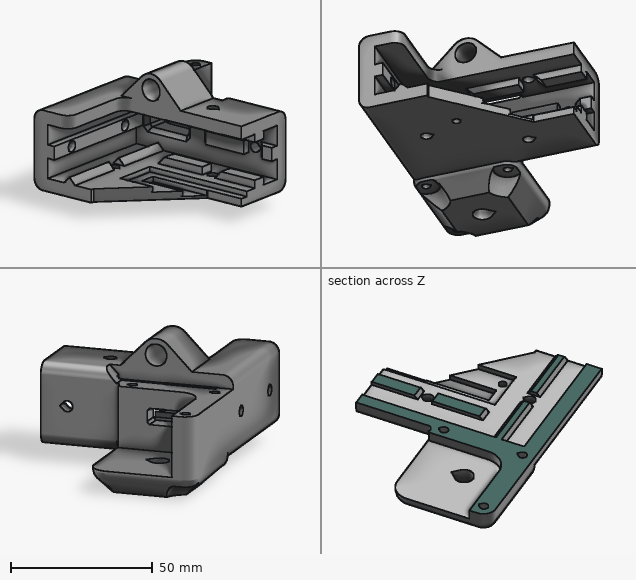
import cadquery as cq
import math

DIAGONAL = math.sqrt(0.5)
EPS = 0.1

length = 70.0
core_depth = 55.0
core_height = 30.0
wall = 4.95
side_wall = 6.1
edge_radius = 4.0
bay_front = 30.0
ceiling = core_height - wall
bay_back = core_depth - wall
rail_z = core_height / 2
rail_y = (bay_front + bay_back) / 2

strip_width = 16.0
floor_width = 26.0
gusset_start = 1.2
gusset_end = floor_width + bay_front - gusset_start

key_height = 3.0
key_width = 5.0
key_gap = 2.8
key_length = 20.1
vee_half_width = 2.5
vee_height = 2.5

screw_diameter = 4.0
side_screws_y = (10.0, rail_y)
plate_screw_x = 49.0
back_screw_x = 60.0
vee_screw_y = 25.0

recess_front = 16.1
recess_back = 33.0
recess_floor = 3.0
deep_left = 30.1
deep_front = 23.6
deep_back = 29.7
deep_floor = 1.0
pin_diameter = 3.0
pin_x = 29.5
pin_y = 19.6

ear_x = 29.0
ear_rise = 11.0
ear_radius = 6.0
ear_bore = 8.0
ear_back = 48.4
ear_z = core_height + ear_rise - ear_radius

block_size = 40.0
block_back = 90.0
block_x = block_size / 2
block_y = block_back - block_size / 2
block_front = block_back - block_size
block_radius = core_depth - block_front
block_far_radius = 7.0
hopper_depth = 7.0
hopper_width = 25.1
recess_top = -1.0
recess_radius = 5.0
recess_flare = 0.6
block_web_radius = 1.5
motor_bore = 7.0
motor_screw = 3.0
motor_screw_pitch = 31.0
pocket_left = 8.2
pocket_front = 58.2
pocket_floor = 2.5
pocket_radius = 8.0
pocket_end_radius = 0.8

step_end = 41.5
notch_size = 1.5

window_width = 17.8
window_height = 5.9
window_corner = 1.0
window_flare = 1.6
window_mouth_corner = 1.8


def box(x0, x1, y0, y1, z0, z1):
    return cq.Workplane("XY").box(x1 - x0, y1 - y0, z1 - z0, centered=False).translate((x0, y0, z0))


def along_y(points, y0, y1):
    """Prism with an outline in X and Z, running from y0 to y1."""
    return cq.Workplane("XZ", origin=(0, y0, 0)).polyline(points).close().extrude(y0 - y1)


def teardrop(plane, origin, diameter, depth):
    """Hole along the plane normal whose 45 degree tip points to +X."""
    r = diameter / 2
    t = r * DIAGONAL
    return (
        cq.Workplane(plane, origin=origin)
        .moveTo(t, t)
        .threePointArc((-r, 0), (t, -t))
        .lineTo(r * math.sqrt(2), 0)
        .close()
        .extrude(depth)
    )


def core_shell():
    left_rounded = box(0, length, 0, core_depth, 0, core_height).edges("|Y and <X").fillet(edge_radius)
    back_rounded = box(0, length, 0, core_depth, 0, core_height).edges("|X and >Y").fillet(edge_radius)
    return left_rounded.intersect(back_rounded)


def motor_block():
    taper = math.degrees(math.atan2((block_size - hopper_width) / 2, hopper_depth))
    block = box(0, block_size, block_front, block_back, 0, ceiling)
    block = block.edges("|Z and (<X or <Y)").fillet(block_radius)
    block = block.edges("|Z and >X and >Y").fillet(block_far_radius)
    block = block.faces("<Z").wires().toPending().workplane().extrude(hopper_depth, taper=taper)
    shoulder = cq.selectors.BoxSelector((-wall, 0, -EPS), (length, block_back + wall, EPS))
    return block.edges(shoulder).fillet(edge_radius)


def block_web():
    r = block_web_radius
    web = box(block_size - r, block_size + r, core_depth - r, core_depth + r, pocket_floor, ceiling)
    rod = (
        cq.Workplane("XY", origin=(block_size + r, core_depth + r, pocket_floor))
        .circle(r)
        .extrude(ceiling - pocket_floor)
    )
    return web.cut(rod)


def motor_pocket():
    r = pocket_radius
    e = pocket_end_radius
    far = block_back + wall
    return (
        cq.Workplane("XY", origin=(0, 0, pocket_floor))
        .moveTo(pocket_left, far)
        .lineTo(pocket_left, pocket_front + r)
        .tangentArcPoint((pocket_left + r, pocket_front), relative=False)
        .lineTo(block_size - e, pocket_front)
        .tangentArcPoint((block_size, pocket_front - e), relative=False)
        .lineTo(far, pocket_front - e)
        .lineTo(far, far)
        .close()
        .extrude(core_height)
    )


def clearance_step():
    end = step_end + wall
    step = along_y(
        [(-wall, ceiling), (step_end, ceiling), (end, core_height), (-wall, core_height)],
        ear_back, core_depth,
    )
    notch = box(step_end, step_end + notch_size, ear_back, bay_back, ceiling, ceiling + notch_size)
    return step.union(notch)


def rail_bays():
    y_bay = box(side_wall, length, 0, bay_front, wall, ceiling)
    x_bay = box(side_wall, length, bay_front, bay_back, wall, ceiling)
    return y_bay.union(x_bay)


def front_opening():
    """Space over the floor beside the ceiling strip, with one rounded outer and one inner corner."""
    r = edge_radius
    return (
        cq.Workplane("XY", origin=(0, 0, ceiling))
        .moveTo(length, 0)
        .lineTo(strip_width - r, 0)
        .radiusArc((strip_width, r), -r)
        .lineTo(strip_width, bay_front - r)
        .tangentArcPoint((strip_width + r, bay_front), relative=False)
        .lineTo(length, bay_front)
        .close()
        .extrude(wall)
    )


def floor_trim():
    return (
        cq.Workplane("XY")
        .polyline([
            (floor_width, 0), (floor_width, gusset_start), (gusset_end, bay_front),
            (length, bay_front), (length, 0),
        ])
        .close()
        .extrude(core_height)
    )


def floor_recess():
    shallow = box(floor_width, length, recess_front, recess_back, recess_floor, wall)
    deep = box(deep_left, length, deep_front, deep_back, deep_floor, wall)
    return shallow.union(deep)


def ear():
    t = ear_radius * DIAGONAL
    foot = ear_z - core_height + ear_radius * math.sqrt(2)
    return (
        cq.Workplane("XZ", origin=(0, bay_front, 0))
        .moveTo(ear_x - foot, core_height)
        .lineTo(ear_x - t, ear_z + t)
        .threePointArc((ear_x, ear_z + ear_radius), (ear_x + t, ear_z + t))
        .lineTo(ear_x + foot, core_height)
        .close()
        .extrude(bay_front - ear_back)
    )


def ramped_key(x0, x1):
    """Key standing on Z = 0, centred on Y = 0, with a 45 degree lead-in at its -X end."""
    outline = [(x0, 0), (x0 + key_height, key_height), (x1, key_height), (x1, 0)]
    return along_y(outline, -key_width / 2, key_width / 2)


def key_pair(screw_x):
    """Keys on either side of a screw; the second one runs to the open end."""
    first_end = screw_x - key_gap
    first = ramped_key(first_end - key_length, first_end)
    return first.union(ramped_key(screw_x + key_gap, length))


def rail_keys():
    on_floor = key_pair(plate_screw_x).translate((0, rail_y, wall))
    on_ceiling = on_floor.mirror("XY", (0, 0, rail_z))
    on_back = key_pair(back_screw_x).rotate((0, 0, 0), (1, 0, 0), 90).translate((0, bay_back, rail_z))
    on_side = box(side_wall, side_wall + key_height, 0, bay_back,
                  rail_z - key_width / 2, rail_z + key_width / 2)
    keys = on_floor.union(on_ceiling).union(on_back).union(on_side)
    vee = [
        (strip_width - vee_half_width, wall), (strip_width, wall + vee_height),
        (strip_width + vee_half_width, wall),
    ]
    for y0, y1 in ((0, vee_screw_y - key_gap), (vee_screw_y + key_gap, bay_back)):
        keys = keys.union(along_y(vee, y0, y1))
    return keys


def belt_window():
    def chamfered_rectangle(width, height, corner):
        x, z = width / 2, height / 2
        return [
            (corner - x, -z), (x - corner, -z), (x, corner - z), (x, z - corner),
            (x - corner, z), (corner - x, z), (-x, z - corner), (-x, corner - z),
        ]

    inner = chamfered_rectangle(window_width, window_height, window_corner)
    outer = chamfered_rectangle(
        window_width + 2 * window_flare, window_height + 2 * window_flare, window_mouth_corner
    )
    mouth = cq.Workplane("XZ", origin=(block_x, bay_back, rail_z))
    through = mouth.polyline(inner).close().extrude(bay_back - pocket_front - pocket_radius)
    flare = mouth.polyline(outer).close().workplane(offset=-window_flare).polyline(inner).close()
    return through.union(flare.loft(ruled=True))


def screw_holes():
    holes = teardrop("XY", (plate_screw_x, rail_y, 0), screw_diameter, core_height)
    holes = holes.union(teardrop("XY", (strip_width, vee_screw_y, 0), screw_diameter, ceiling))
    holes = holes.union(teardrop("XZ", (back_screw_x, core_depth, rail_z), screw_diameter, wall))
    for y in side_screws_y:
        hole = cq.Workplane("YZ", origin=(0, y, rail_z)).circle(screw_diameter / 2)
        holes = holes.union(hole.extrude(side_wall + key_height))
    pin = cq.Workplane("XY", origin=(pin_x, pin_y, 0)).circle(pin_diameter / 2).extrude(wall)
    return holes.union(pin)


def motor_holes():
    reach = hopper_depth + core_height
    holes = teardrop("XY", (block_x, block_y, -hopper_depth), motor_bore, reach)
    offset = motor_screw_pitch / 2
    recess_depth = hopper_depth + recess_top
    for sx, sy in ((-1, -1), (1, -1), (-1, 1)):
        x = block_x + sx * offset
        y = block_y + sy * offset
        recess = cq.Solid.makeCone(
            recess_radius + recess_flare * recess_depth, recess_radius, recess_depth,
            pnt=cq.Vector(x, y, -hopper_depth),
        )
        holes = holes.union(teardrop("XY", (x, y, -hopper_depth), motor_screw, reach)).union(recess)
    return holes


def ear_hole():
    bore = cq.Workplane("XZ", origin=(ear_x, ear_back, ear_z)).circle(ear_bore / 2)
    return bore.extrude(ear_back - bay_front)


result = core_shell().union(motor_block()).union(block_web())
for cutter in (motor_pocket(), clearance_step(), rail_bays(), front_opening()):
    result = result.cut(cutter)
result = result.union(rail_keys()).union(ear())
for cutter in (floor_trim(), floor_recess(), belt_window(), screw_holes(), motor_holes(), ear_hole()):
    result = result.cut(cutter)